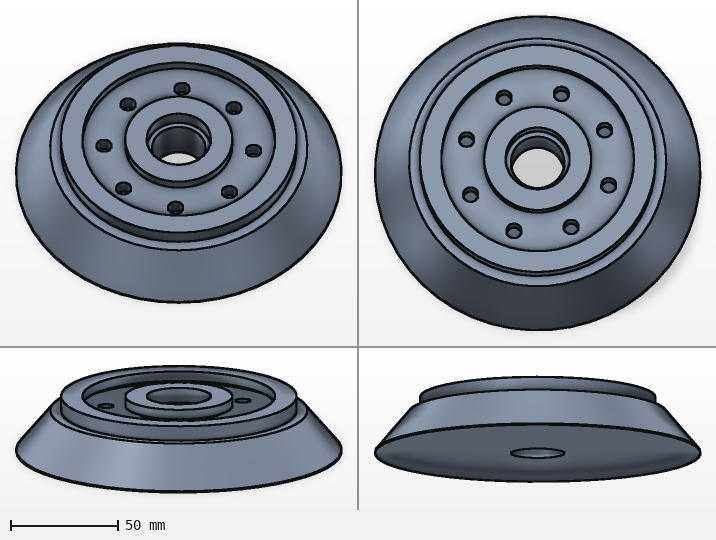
import cadquery as cq

rim_diameter = 152.0
shoulder_diameter = 120.1
rim_height = 0.6
shoulder_height = 19.5

overall_height = 26.5
plate_diameter = 110.0

mouth_outer_diameter = 90.0
mouth_inner_diameter = 50.0
mouth_depth = 4.5
undercut_outer_diameter = 100.0
undercut_inner_diameter = 40.0
recess_depth = 7.0

bore_diameter = 25.0
counterbore_diameter = 30.0
counterbore_depth = 7.0

hole_count = 8
hole_diameter = 7.0
hole_circle_diameter = 69.9
hole_depth = 7.0


def make_body():
    """Revolve the outer profile of the skirt and mounting plate about Z."""
    rim_radius = rim_diameter / 2
    plate_radius = plate_diameter / 2
    profile = [
        (0, 0),
        (rim_radius, 0),
        (rim_radius, rim_height),
        (shoulder_diameter / 2, shoulder_height),
        (plate_radius, shoulder_height),
        (plate_radius, overall_height),
        (0, overall_height),
    ]
    return cq.Workplane("XZ").polyline(profile).close().revolve(360, (0, 0), (0, 1))


def make_ring(outer_diameter, inner_diameter, top_height, bottom_height):
    """Build a flat ring about Z between two heights."""
    return (
        cq.Workplane("XY", origin=(0, 0, bottom_height))
        .circle(outer_diameter / 2)
        .circle(inner_diameter / 2)
        .extrude(top_height - bottom_height)
    )


def cut_recess(body):
    """Sink the ring between plate edge and boss, undercutting both of its walls."""
    lip_height = overall_height - mouth_depth
    floor_height = overall_height - recess_depth
    mouth = make_ring(mouth_outer_diameter, mouth_inner_diameter, overall_height, lip_height)
    undercut = make_ring(undercut_outer_diameter, undercut_inner_diameter, lip_height, floor_height)
    return body.cut(mouth).cut(undercut)


def cut_stepped_bore(body):
    """Cut the counterbored through hole on the axis."""
    return (
        body.faces(">Z")
        .workplane(origin=(0, 0, overall_height))
        .cboreHole(bore_diameter, counterbore_diameter, counterbore_depth)
    )


def cut_hole_ring(body):
    """Drill the evenly spaced blind holes into the recess floor."""
    floor_height = overall_height - recess_depth
    holes = (
        cq.Workplane("XY", origin=(0, 0, floor_height))
        .polarArray(hole_circle_diameter / 2, 0, 360, hole_count)
        .circle(hole_diameter / 2)
        .extrude(-hole_depth)
    )
    return body.cut(holes)


result = make_body()
result = cut_recess(result)
result = cut_stepped_bore(result)
result = cut_hole_ring(result)